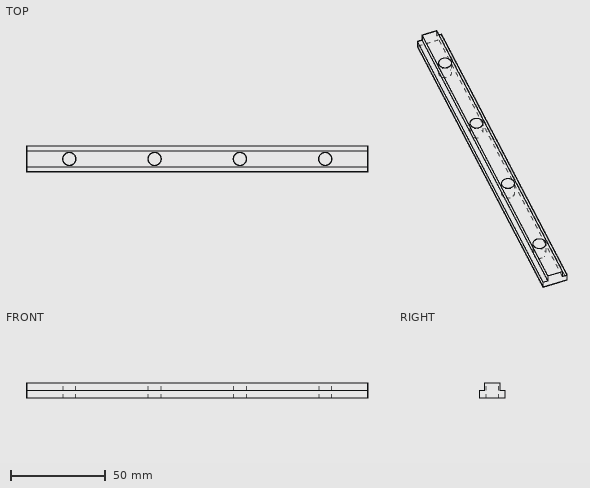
import cadquery as cq

length = 180.0
flange_width = 13.7
stem_width = 8.3
total_height = 8.0
flange_height = 4.0
hole_diameter = 6.8
hole_count = 4

hole_pitch = length / hole_count


def make_bar():
    """T-shaped bar along X: a wide flange at the bottom, a narrower stem on top."""
    flange = cq.Workplane("XY").box(length, flange_width, flange_height, centered=(True, True, False))
    stem = cq.Workplane("XY").box(length, stem_width, total_height, centered=(True, True, False))
    return flange.union(stem)


def make_hole_cutters():
    """Row of plain vertical cylinders through the full height."""
    return (
        cq.Workplane("XY")
        .rarray(hole_pitch, hole_pitch, hole_count, 1)
        .circle(hole_diameter / 2)
        .extrude(total_height)
    )


result = make_bar().cut(make_hole_cutters())